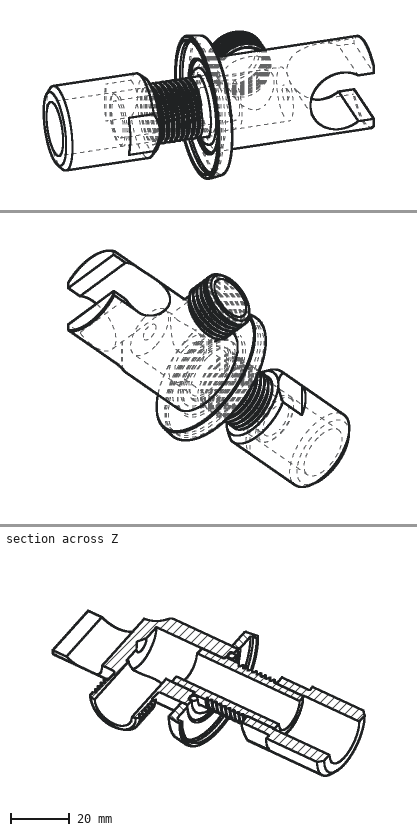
import cadquery as cq
import math


MARGIN = 1.1
EDGE_TOLERANCE = 0.1

BODY_RADIUS = 16.0
BODY_BASE_Y = 2.7
BODY_TIP_Y = 60.2
TIP_CHAMFER = 0.3

CRADLE_Y = 48.3
CRADLE_RADIUS = 10.9
CRADLE_GAP = 17.8
NEAR_FLAT_X = -11.8
FAR_FLAT_X = 10.5
FAR_SWEEP_Y = 38.2
FAR_SWEEP_RADIUS = 8.9
FAR_EDGE_FILLET = 2.2

THREAD_TURNS = 11
THREAD_GAUGE_LENGTH = 20.0
PITCH = THREAD_GAUGE_LENGTH / THREAD_TURNS
FLANK_ROOT_WIDTH = 1.5
CREST_WIDTH = 0.3
ROOT_OVERLAP = 0.2

ORING_SECTION_RADIUS = 1.3
ORING_CENTRE_RADIUS = 12.0
ORING_RECESS_RADIUS = ORING_CENTRE_RADIUS + ORING_SECTION_RADIUS
ORING_RECESS_END_Y = BODY_BASE_Y + ORING_SECTION_RADIUS

OUTLET_Y = 23.2
OUTLET_TIP_X = -30.9
OUTLET_NECK_RADIUS = 8.9
OUTLET_CORE_RADIUS = 9.1
OUTLET_CREST_RADIUS = 10.1
OUTLET_BORE_RADIUS = 7.5
OUTLET_THREAD_LENGTH = 10.9
OUTLET_COLLAR_LENGTH = 1.9
OUTLET_COLLAR_CHAMFER = 1.0
OUTLET_FILLET = 0.9

WATERWAY_RADIUS = 9.3
WATERWAY_END_Y = 31.6
DIMPLE_RADIUS = 3.1
DIMPLE_HALF_ANGLE = 59.0

FLANGE_RADIUS = 24.8
FLANGE_FRONT_RADIUS = 24.2
FLANGE_THICKNESS = 5.2
FLANGE_RIM_HEIGHT = 1.1
FLANGE_EDGE_CHAMFER = 0.3
RECESS_RADIUS = 23.4
RECESS_FLOOR_RADIUS = 23.0
RECESS_WALL_DEPTH = 1.4
RECESS_DEPTH = 2.2
FLANGE_HOLE_CHAMFER = 0.7

STUD_CREST_RADIUS = 10.4
STUD_CORE_RADIUS = WATERWAY_RADIUS
STUD_BORE_RADIUS = 6.4
STUD_INNER_Y = 13.3
STUD_OUTER_Y = -28.4
STUD_COLLAR_END_Y = -1.1
STUD_CHAMFER = 0.5

SLEEVE_RADIUS = 14.7
SLEEVE_START_Y = -17.2
SLEEVE_END_Y = -50.8
SLEEVE_BEVEL = 1.9
SLEEVE_START_BEVEL_LENGTH = 2.2
SLEEVE_END_BEVEL_LENGTH = 1.7
SLEEVE_FLAT_X = 12.8
SLEEVE_FLAT_END_Y = -28.4


def revolve_about_y(points):
    """Revolve an outline of (radius, Y) points about the Y axis."""
    return cq.Workplane("XY").polyline(points).close().revolve(360, (0, 0, 0), (0, 1, 0))


def cylinder_along_x(radius, start_x, end_x, y):
    return cq.Workplane("YZ", origin=(start_x, y, 0)).circle(radius).extrude(end_x - start_x)


def thread_ridge(core_radius, crest_radius, length):
    """Helical ridge about the Z axis, trimmed flat to 0 <= Z <= length."""
    turns_height = length + 2 * PITCH
    inner_radius = core_radius - ROOT_OVERLAP

    def helix(radius, offset):
        wire = cq.Wire.makeHelix(PITCH, turns_height, radius)
        return wire.translate(cq.Vector(0, 0, offset - PITCH))

    corners = [
        (inner_radius, -FLANK_ROOT_WIDTH / 2),
        (crest_radius, -CREST_WIDTH / 2),
        (crest_radius, CREST_WIDTH / 2),
        (inner_radius, FLANK_ROOT_WIDTH / 2),
    ]
    helices = [helix(radius, offset) for radius, offset in corners]
    faces = []
    for i, wire in enumerate(helices):
        following = helices[(i + 1) % len(helices)]
        faces.append(cq.Face.makeRuledSurface(wire, following))
    for height in (-PITCH, turns_height - PITCH):
        angle = 2 * math.pi * (height + PITCH) / PITCH
        section = [
            cq.Vector(radius * math.cos(angle), radius * math.sin(angle), height + offset)
            for radius, offset in corners
        ]
        faces.append(cq.Face.makeFromWires(cq.Wire.makePolygon(section, close=True)))
    ridge = cq.Workplane(cq.Solid.makeSolid(cq.Shell.makeShell(faces)))
    envelope = cq.Workplane("XY").circle(crest_radius + MARGIN).extrude(length)
    return ridge.intersect(envelope)


def cut_far_side(body):
    """Flatten the +X side of the cradle and round the resulting outer edge."""
    clear = 2 * BODY_RADIUS
    sweep_centre_x = FAR_FLAT_X + FAR_SWEEP_RADIUS
    cutter = (
        cq.Workplane("XY", origin=(0, 0, -clear))
        .moveTo(FAR_FLAT_X, BODY_TIP_Y + MARGIN)
        .lineTo(FAR_FLAT_X, FAR_SWEEP_Y)
        .radiusArc((sweep_centre_x, FAR_SWEEP_Y - FAR_SWEEP_RADIUS), -FAR_SWEEP_RADIUS)
        .lineTo(clear, FAR_SWEEP_Y - FAR_SWEEP_RADIUS)
        .lineTo(clear, BODY_TIP_Y + MARGIN)
        .close()
        .extrude(2 * clear)
    )
    body = body.cut(cutter)
    tip_corner_y = BODY_TIP_Y - TIP_CHAMFER
    edge_box = cq.selectors.BoxSelector(
        (FAR_FLAT_X - EDGE_TOLERANCE, OUTLET_Y, -BODY_RADIUS - MARGIN),
        (BODY_RADIUS + MARGIN, tip_corner_y, BODY_RADIUS + MARGIN),
    )
    return body.edges(edge_box).edges("not #Y").fillet(FAR_EDGE_FILLET)


def make_cradle(body):
    """Cross hole, jaw opening and the flats on both sides of the jaws."""
    clear = 2 * BODY_RADIUS
    tip_length = BODY_TIP_Y - CRADLE_Y + MARGIN
    body = cut_far_side(body)
    body = body.cut(cylinder_along_x(CRADLE_RADIUS, -clear, clear, CRADLE_Y))
    opening = cq.Workplane("XY").box(2 * clear, tip_length, CRADLE_GAP, centered=(True, False, True))
    near_side = cq.Workplane("XY").box(clear, tip_length, 2 * clear, centered=(False, False, True))
    body = body.cut(opening.translate((0, CRADLE_Y, 0)))
    return body.cut(near_side.translate((NEAR_FLAT_X - clear, CRADLE_Y, 0)))


def add_outlet(body):
    """Threaded side outlet pointing to -X, blended into the housing."""
    body = body.union(cylinder_along_x(OUTLET_NECK_RADIUS, OUTLET_TIP_X, 0, OUTLET_Y))
    joint = cq.selectors.BoxSelector(
        (-BODY_RADIUS - MARGIN, OUTLET_Y - OUTLET_NECK_RADIUS - MARGIN, -OUTLET_NECK_RADIUS - MARGIN),
        (0, OUTLET_Y + OUTLET_NECK_RADIUS + MARGIN, OUTLET_NECK_RADIUS + MARGIN),
    )
    body = body.edges(joint).fillet(OUTLET_FILLET)
    collar_end_x = OUTLET_TIP_X + OUTLET_COLLAR_LENGTH
    thread_end_x = OUTLET_TIP_X + OUTLET_THREAD_LENGTH
    core = cylinder_along_x(OUTLET_CORE_RADIUS, collar_end_x, thread_end_x, OUTLET_Y)
    collar = cylinder_along_x(OUTLET_CREST_RADIUS, OUTLET_TIP_X, collar_end_x, OUTLET_Y)
    collar = collar.faces("<X").chamfer(OUTLET_COLLAR_CHAMFER)
    ridge = (
        thread_ridge(OUTLET_CORE_RADIUS, OUTLET_CREST_RADIUS, thread_end_x - collar_end_x)
        .rotate((0, 0, 0), (0, 1, 0), 90)
        .translate((collar_end_x, OUTLET_Y, 0))
    )
    return body.union(collar).union(core).union(ridge)


def make_housing():
    body = revolve_about_y([
        (0, BODY_BASE_Y),
        (BODY_RADIUS, BODY_BASE_Y),
        (BODY_RADIUS, BODY_TIP_Y - TIP_CHAMFER),
        (BODY_RADIUS - TIP_CHAMFER, BODY_TIP_Y),
        (0, BODY_TIP_Y),
    ])
    body = add_outlet(make_cradle(body))
    dimple_depth = DIMPLE_RADIUS / math.tan(math.radians(DIMPLE_HALF_ANGLE))
    waterway = revolve_about_y([
        (0, BODY_BASE_Y),
        (ORING_RECESS_RADIUS, BODY_BASE_Y),
        (ORING_RECESS_RADIUS, ORING_RECESS_END_Y),
        (WATERWAY_RADIUS, ORING_RECESS_END_Y),
        (WATERWAY_RADIUS, WATERWAY_END_Y),
        (DIMPLE_RADIUS, WATERWAY_END_Y),
        (0, WATERWAY_END_Y + dimple_depth),
    ])
    outlet_bore = cylinder_along_x(OUTLET_BORE_RADIUS, OUTLET_TIP_X, 0, OUTLET_Y)
    return body.cut(waterway).cut(outlet_bore)


def make_flange():
    return revolve_about_y([
        (RECESS_RADIUS, 0),
        (FLANGE_RADIUS - FLANGE_EDGE_CHAMFER, 0),
        (FLANGE_RADIUS, FLANGE_EDGE_CHAMFER),
        (FLANGE_RADIUS, FLANGE_RIM_HEIGHT),
        (FLANGE_FRONT_RADIUS, FLANGE_THICKNESS - FLANGE_EDGE_CHAMFER),
        (FLANGE_FRONT_RADIUS - FLANGE_EDGE_CHAMFER, FLANGE_THICKNESS),
        (BODY_RADIUS, FLANGE_THICKNESS),
        (BODY_RADIUS, RECESS_DEPTH + FLANGE_HOLE_CHAMFER),
        (BODY_RADIUS + FLANGE_HOLE_CHAMFER, RECESS_DEPTH),
        (RECESS_FLOOR_RADIUS, RECESS_DEPTH),
        (RECESS_RADIUS, RECESS_WALL_DEPTH),
    ])


def make_stud():
    tube = revolve_about_y([
        (STUD_BORE_RADIUS, STUD_INNER_Y),
        (STUD_CORE_RADIUS, STUD_INNER_Y),
        (STUD_CORE_RADIUS, ORING_RECESS_END_Y),
        (STUD_CREST_RADIUS, ORING_RECESS_END_Y),
        (STUD_CREST_RADIUS, STUD_COLLAR_END_Y),
        (STUD_CORE_RADIUS, STUD_COLLAR_END_Y),
        (STUD_CORE_RADIUS, STUD_OUTER_Y + STUD_CHAMFER),
        (STUD_CORE_RADIUS - STUD_CHAMFER, STUD_OUTER_Y),
        (STUD_BORE_RADIUS, STUD_OUTER_Y),
    ])
    ridge = (
        thread_ridge(STUD_CORE_RADIUS, STUD_CREST_RADIUS, STUD_COLLAR_END_Y - SLEEVE_START_Y)
        .rotate((0, 0, 0), (1, 0, 0), 90)
        .translate((0, STUD_COLLAR_END_Y, 0))
    )
    return tube.union(ridge)


def make_oring():
    """Ring centred on the seat face, filling the recess from its floor to its rim."""
    section = cq.Workplane("XY").center(ORING_CENTRE_RADIUS, BODY_BASE_Y).circle(ORING_SECTION_RADIUS)
    return section.revolve(360, (-ORING_CENTRE_RADIUS, 0, 0), (-ORING_CENTRE_RADIUS, 1, 0))


def make_sleeve():
    bevel_radius = SLEEVE_RADIUS - SLEEVE_BEVEL
    sleeve = revolve_about_y([
        (STUD_CORE_RADIUS, SLEEVE_START_Y),
        (bevel_radius, SLEEVE_START_Y),
        (SLEEVE_RADIUS, SLEEVE_START_Y - SLEEVE_START_BEVEL_LENGTH),
        (SLEEVE_RADIUS, SLEEVE_END_Y + SLEEVE_END_BEVEL_LENGTH),
        (bevel_radius, SLEEVE_END_Y),
        (STUD_CORE_RADIUS, SLEEVE_END_Y),
    ])
    flat_length = SLEEVE_START_Y - SLEEVE_FLAT_END_Y
    flat_y = (SLEEVE_START_Y + SLEEVE_FLAT_END_Y) / 2
    for side in (-1, 1):
        cutter = cq.Workplane("XY").box(SLEEVE_RADIUS, flat_length, 2 * SLEEVE_RADIUS)
        sleeve = sleeve.cut(cutter.translate((side * (SLEEVE_FLAT_X + SLEEVE_RADIUS / 2), flat_y, 0)))
    return sleeve


housing = make_housing()
flange = make_flange()
stud = make_stud()
oring = make_oring()
sleeve = make_sleeve()

result = cq.Compound.makeCompound([
    housing.val(),
    flange.val(),
    stud.val(),
    oring.val(),
    sleeve.val(),
])